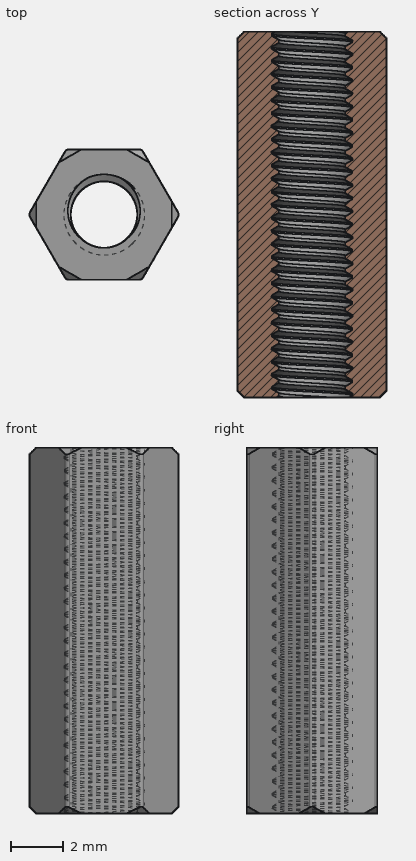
import cadquery as cq
import math

LENGTH = 14.0
ACROSS_FLATS = 5.0
EDGE_RADIUS = 0.2
CORNER_CHAMFER = 0.27

MINOR_DIAMETER = 2.53
MAJOR_DIAMETER = 3.08
TURNS = 28
PITCH = LENGTH / TURNS
THREAD_ANGLE = 60.0
ROOT_FLAT = PITCH / 8
GROOVE_OVERLAP = 0.04
RUNOUT_TURNS = 1
ROOT_DIRECTION = 90.0


def hexagonal_prism(across_flats):
    corner_diameter = across_flats / math.cos(math.radians(30))
    return cq.Workplane("XY").polygon(6, corner_diameter).extrude(LENGTH)


def make_body():
    """Hexagonal bar with rounded long edges and flat chamfers on its end corners."""
    bar = hexagonal_prism(ACROSS_FLATS).edges("|Z").fillet(EDGE_RADIUS)
    half_angle_cosine = math.cos(math.radians(30))
    across_corners = (ACROSS_FLATS - 2 * EDGE_RADIUS) / half_angle_cosine + 2 * EDGE_RADIUS
    corner_trim = (
        hexagonal_prism(across_corners)
        .faces("<Z or >Z")
        .chamfer(CORNER_CHAMFER)
        .rotate((0, 0, 0), (0, 0, 1), 30)
    )
    return bar.intersect(corner_trim)


def make_thread_groove():
    """Right-handed 60-degree groove with a flat root that runs past both end faces."""
    minor_radius = MINOR_DIAMETER / 2
    root_radius = MAJOR_DIAMETER / 2
    inner_radius = minor_radius - GROOVE_OVERLAP
    half_root = ROOT_FLAT / 2
    half_mouth = half_root + (root_radius - inner_radius) * math.tan(math.radians(THREAD_ANGLE / 2))
    runout = RUNOUT_TURNS * PITCH
    helix = cq.Wire.makeHelix(PITCH, LENGTH + 2 * runout, minor_radius)
    groove = (
        cq.Workplane("XZ")
        .moveTo(inner_radius, -half_mouth)
        .lineTo(root_radius, -half_root)
        .lineTo(root_radius, half_root)
        .lineTo(inner_radius, half_mouth)
        .close()
        .sweep(cq.Workplane(obj=helix), isFrenet=True)
    )
    return groove.rotate((0, 0, 0), (0, 0, 1), ROOT_DIRECTION).translate((0, 0, -runout))


bore = cq.Workplane("XY").circle(MINOR_DIAMETER / 2).extrude(LENGTH)
result = make_body().cut(make_thread_groove()).cut(bore)